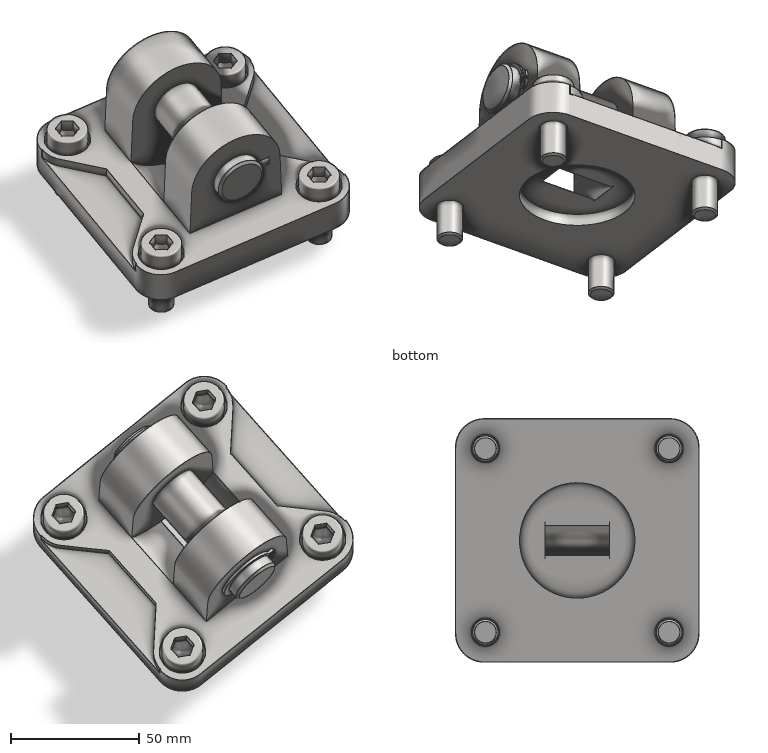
import cadquery as cq
import math

plate_side = 95.0
plate_thickness = 14.0
corner_radius = 11.3
relief_depth = 4.0
relief_floor_half_width = 14.2
relief_inner_y = 31.0
collar_bore_diameter = 45.0
collar_bore_depth = 5.0

lug_top_radius = 20.0
lug_draft = 2.0
lug_inner_x = 12.5
lug_outer_x = 32.5
axis_above_plate = 21.9
trough_radius = 27.5

pin_diameter = 20.0
pin_left_x = -38.5
pin_right_x = 37.05
pin_end_chamfer = 1.0
groove_diameter = 19.0

ring_thickness = 1.1
ring_outer_radius = 11.9
ring_offset = 0.8
ear_diameter = 4.0
ear_hole_diameter = 2.0
ear_y = -11.3
ear_half_spacing = 2.0
ring_gap = 1.1
ear_neck_radius = 0.7

dowel_diameter = 4.0
dowel_length = 10.0
dowel_outer_y = 15.0
dowel_x = 30.9

screw_pitch = 71.6
screw_diameter = 10.0
screw_clearance = 11.0
screw_length = 25.0
screw_tip_chamfer = 0.8
head_diameter = 16.0
head_height = 10.0
head_edge_radius = 0.8
counterbore_diameter = 18.0
counterbore_depth = 4.0
socket_across_flats = 8.0
socket_depth = 5.0
socket_cone_depth = 2.3

axis_z = plate_thickness + axis_above_plate
screw_half_pitch = screw_pitch / 2
screw_seat_z = plate_thickness - counterbore_depth
draft_angle = math.radians(lug_draft)
lug_foot_half_width = lug_top_radius / math.cos(draft_angle) + axis_above_plate * math.tan(draft_angle)
ring_left_x = -lug_outer_x - ring_thickness


def cylinder_x(diameter, x_start, x_end, y=0.0, z=axis_z):
    """Cylinder along X."""
    return (
        cq.Workplane("YZ", origin=(x_start, y, z))
        .circle(diameter / 2)
        .extrude(x_end - x_start)
    )


def dowel_cylinder():
    """The dowel's cylinder, radial to the pin."""
    return (
        cq.Workplane("XZ", origin=(dowel_x, dowel_outer_y, axis_z))
        .circle(dowel_diameter / 2)
        .extrude(dowel_length)
    )


def edge_relief():
    """Cutter for the step along the front edge, between the two screw bosses."""
    to_boss_x = screw_half_pitch - relief_floor_half_width
    to_boss_y = screw_half_pitch - relief_inner_y
    slant = math.atan2(to_boss_y, to_boss_x) + math.asin(corner_radius / math.hypot(to_boss_x, to_boss_y))
    tangent_x = screw_half_pitch - corner_radius * math.sin(slant)
    tangent_y = screw_half_pitch + corner_radius * math.cos(slant)
    arc_middle_x = screw_half_pitch - corner_radius * math.sin(slant / 2)
    arc_middle_y = screw_half_pitch + corner_radius * math.cos(slant / 2)
    boss_end_y = screw_half_pitch + corner_radius
    return (
        cq.Workplane("XY", origin=(0, 0, plate_thickness - relief_depth))
        .moveTo(-relief_floor_half_width, -relief_inner_y)
        .lineTo(relief_floor_half_width, -relief_inner_y)
        .lineTo(tangent_x, -tangent_y)
        .threePointArc((arc_middle_x, -arc_middle_y), (screw_half_pitch, -boss_end_y))
        .lineTo(screw_half_pitch, -plate_side / 2)
        .lineTo(-screw_half_pitch, -plate_side / 2)
        .lineTo(-screw_half_pitch, -boss_end_y)
        .threePointArc((-arc_middle_x, -arc_middle_y), (-tangent_x, -tangent_y))
        .close()
        .extrude(relief_depth)
    )


def base_plate():
    plate = (
        cq.Workplane("XY")
        .rect(plate_side, plate_side)
        .extrude(plate_thickness)
        .edges("|Z")
        .fillet(corner_radius)
    )
    front_relief = edge_relief()
    return plate.cut(front_relief).cut(front_relief.mirror("XZ"))


def lug(x_start):
    """Upright lug with drafted flanks and a round top around the pin axis."""
    flank_y = lug_top_radius * math.cos(draft_angle)
    flank_z = axis_z + lug_top_radius * math.sin(draft_angle)
    return (
        cq.Workplane("YZ", origin=(x_start, 0, 0))
        .moveTo(-lug_foot_half_width, plate_thickness)
        .lineTo(lug_foot_half_width, plate_thickness)
        .lineTo(flank_y, flank_z)
        .threePointArc((0, axis_z + lug_top_radius), (-flank_y, flank_z))
        .close()
        .extrude(lug_outer_x - lug_inner_x)
    )


def dowel_slot():
    """Round-bottomed slot for the dowel, open to the outer face of the right lug."""
    mouth = (
        cq.Workplane("XY")
        .box(lug_outer_x - dowel_x, dowel_length, dowel_diameter, centered=(False, False, True))
        .translate((dowel_x, dowel_outer_y - dowel_length, axis_z))
    )
    return dowel_cylinder().union(mouth)


def screw_cutters(diameter, z_start):
    """Cylinders at the four screw places, from z_start up to the plate top."""
    return (
        cq.Workplane("XY", origin=(0, 0, z_start))
        .rect(screw_pitch, screw_pitch, forConstruction=True)
        .vertices()
        .circle(diameter / 2)
        .extrude(plate_thickness - z_start)
    )


def make_bracket():
    bracket = base_plate()
    for x_start in (-lug_outer_x, lug_inner_x):
        bracket = bracket.union(lug(x_start))

    trough_z = plate_thickness + math.sqrt(trough_radius**2 - lug_foot_half_width**2)
    bracket = bracket.cut(cylinder_x(2 * trough_radius, -lug_inner_x, lug_inner_x, z=trough_z))
    bracket = bracket.cut(cq.Workplane("XY").circle(collar_bore_diameter / 2).extrude(collar_bore_depth))
    bracket = bracket.cut(cylinder_x(pin_diameter, -lug_outer_x, lug_outer_x))
    bracket = bracket.cut(dowel_slot())
    bracket = bracket.cut(screw_cutters(screw_clearance, 0))
    return bracket.cut(screw_cutters(counterbore_diameter, screw_seat_z))


def make_clevis_pin():
    pin = cylinder_x(pin_diameter, pin_left_x, pin_right_x).faces("<X or >X").chamfer(pin_end_chamfer)
    groove = cylinder_x(pin_diameter, ring_left_x, -lug_outer_x).cut(
        cylinder_x(groove_diameter, ring_left_x, -lug_outer_x)
    )
    return pin.cut(groove).cut(dowel_cylinder())


def make_retaining_ring():
    ring = cylinder_x(2 * ring_outer_radius, ring_left_x, -lug_outer_x, y=ring_offset)
    for side in (-1, 1):
        ear_z = axis_z + side * ear_half_spacing
        ear = cylinder_x(ear_diameter, ring_left_x, -lug_outer_x, y=ear_y, z=ear_z)
        web = (
            cq.Workplane("XY")
            .box(ring_thickness, ear_diameter / 2 - ear_y, ear_half_spacing, centered=(False, False, True))
            .translate((ring_left_x, ear_y - ear_diameter / 2, axis_z + side * ear_half_spacing / 2))
        )
        root = (
            cq.Workplane("XY")
            .box(ring_thickness, -ear_y, ear_diameter, centered=(False, False, True))
            .translate((ring_left_x, ear_y, ear_z))
        )
        ring = ring.union(ear).union(web).union(root)
    ear_reach_z = ear_half_spacing + ear_diameter / 2
    neck_y = ring_offset - math.sqrt(ring_outer_radius**2 - ear_reach_z**2)
    for side in (-1, 1):
        neck_point = (ring_left_x + ring_thickness / 2, neck_y, axis_z + side * ear_reach_z)
        ring = ring.edges(cq.selectors.NearestToPointSelector(neck_point)).fillet(ear_neck_radius)

    ring = ring.cut(cylinder_x(groove_diameter, ring_left_x, -lug_outer_x))
    gap = (
        cq.Workplane("XY")
        .box(ring_thickness, 2 * ring_outer_radius, ring_gap, centered=(False, False, True))
        .translate((ring_left_x, -2 * ring_outer_radius, axis_z))
    )
    ring = ring.cut(gap)
    for side in (-1, 1):
        ear_z = axis_z + side * ear_half_spacing
        ring = ring.cut(cylinder_x(ear_hole_diameter, ring_left_x, -lug_outer_x, y=ear_y, z=ear_z))
    return ring


def hex_socket(top_z):
    """Cutter for the hexagon socket, whose bottom is a shallow cone as wide as the hexagon's corners."""
    corner_diameter = socket_across_flats / math.cos(math.pi / 6)
    hexagon = (
        cq.Workplane("XY", origin=(0, 0, top_z))
        .polygon(6, corner_diameter)
        .extrude(-socket_depth - socket_cone_depth)
    )
    pointed_cylinder = (
        cq.Workplane("XZ")
        .moveTo(0, top_z)
        .lineTo(corner_diameter / 2, top_z)
        .lineTo(corner_diameter / 2, top_z - socket_depth)
        .lineTo(0, top_z - socket_depth - socket_cone_depth)
        .close()
        .revolve(360, (0, 0, 0), (0, 1, 0))
    )
    return hexagon.intersect(pointed_cylinder)


def make_screw(x, y):
    head_top_z = screw_seat_z + head_height
    shank = (
        cq.Workplane("XY", origin=(0, 0, screw_seat_z))
        .circle(screw_diameter / 2)
        .extrude(-screw_length)
        .faces("<Z")
        .chamfer(screw_tip_chamfer)
    )
    head = (
        cq.Workplane("XY", origin=(0, 0, screw_seat_z))
        .circle(head_diameter / 2)
        .extrude(head_height)
        .faces(">Z")
        .edges()
        .fillet(head_edge_radius)
    )
    return shank.union(head).cut(hex_socket(head_top_z)).translate((x, y, 0))


bracket = make_bracket()
clevis_pin = make_clevis_pin()
retaining_ring = make_retaining_ring()
dowel = dowel_cylinder()
screws = [
    make_screw(x, y)
    for x in (-screw_half_pitch, screw_half_pitch)
    for y in (-screw_half_pitch, screw_half_pitch)
]

result = cq.Compound.makeCompound(
    [
        bracket.solids().val(),
        clevis_pin.solids().val(),
        retaining_ring.solids().val(),
        dowel.solids().val(),
        *[screw.solids().val() for screw in screws],
    ]
)